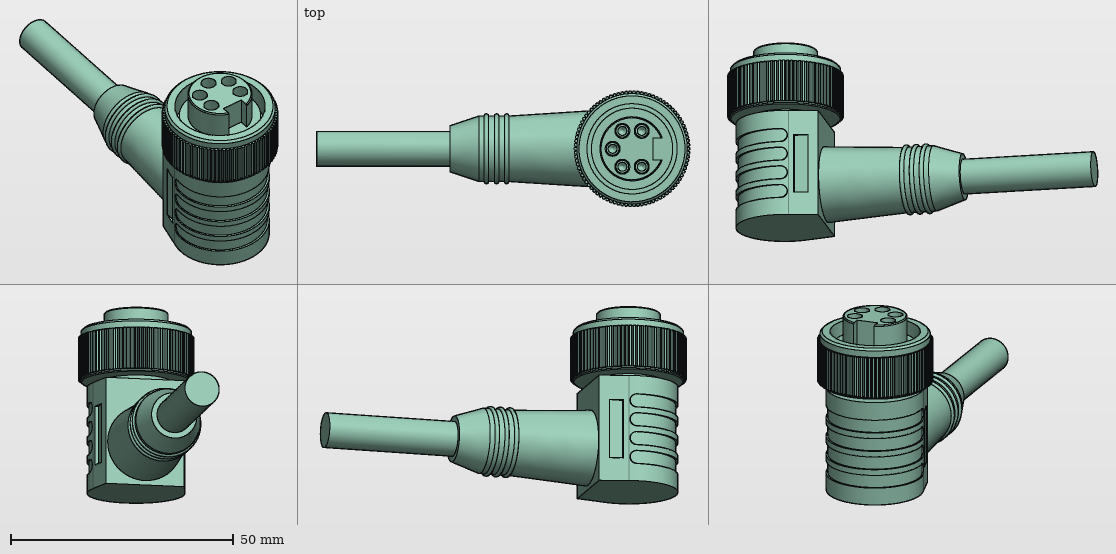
import cadquery as cq
import math


BODY_HEIGHT = 24.4
BODY_ARC_RADIUS = 11.0
BODY_ARC_X = 0.2
BODY_BACK_X = -9.4
BODY_BACK_HALF_WIDTH = 9.0
FLANK_END_X = -2.85

GRIP_COUNT = 4
GRIP_PITCH = 4.4
GRIP_CENTER_Z = 12.1
GRIP_WIDTH = 3.0
GRIP_START_X = -2.6
GRIP_FLOOR_RADIUS = 10.7

WINDOW_X_MIN = -7.1
WINDOW_X_MAX = -4.0
WINDOW_HEIGHT = 13.4
WINDOW_Z = 12.0
WINDOW_FLOOR_Y = 9.5

CABLE_Z = 9.6
CABLE_RADIUS = 3.95
CABLE_END_X = -71.0
BOOT_END_X = -41.0
BOOT_END_RADIUS = 5.2
BOOT_WAIST_RADIUS = 7.4
BOOT_TAPER_X = -34.4
BOOT_ROOT_RADIUS = 8.6
RING_COUNT = 3
RING_FIRST_X = -32.8
RING_PITCH = 2.3
RING_TUBE_RADIUS = 0.5

NECK_RADIUS = 7.9
NUT_BOTTOM_Z = 25.5
NUT_TOP_Z = 37.55
NUT_RADIUS = 12.4
NUT_CHAMFER = 0.5
KNURL_ROOT_RADIUS = 12.5
KNURL_TIP_RADIUS = 13.0
KNURL_TOP_Z = 35.5
KNURL_BOTTOM_Z = 26.1
KNURL_TEETH = 90
TOOTH_WIDTH = 0.4
NUT_BOTTOM_BEVEL = 0.25
RECESS_RADIUS = 10.2
RECESS_FLOOR_Z = 31.9
FLANGE_RADIUS = 9.15
FLANGE_TOP_Z = 34.8

INSERT_TOP_Z = 41.3
INSERT_RADIUS = 7.2
INSERT_CHAMFER = 0.25
KEY_WIDTH = 4.95
KEY_FLAT_X = 4.7
CONTACT_PAIR_X = 2.2
CONTACT_PAIR_Y = 4.0
SINGLE_CONTACT_X = -4.4
CONTACT_HOLE_RADIUS = 1.7
CONTACT_RADIUS = 1.4
CONTACT_DEPTH = 3.4
CONTACT_HEIGHT = 1.7
CONTACT_MOUTH_RADIUS = 1.0
CONTACT_MOUTH_DEPTH = 1.0


def disc(radius, z_bottom, z_top):
    """Upright cylinder on the nut axis."""
    return cq.Workplane("XY").workplane(offset=z_bottom).circle(radius).extrude(z_top - z_bottom)


def make_body():
    """Block with a flat back, two slanted flanks and a round front."""
    flank_y = math.sqrt(BODY_ARC_RADIUS**2 - (FLANK_END_X - BODY_ARC_X) ** 2)
    return (
        cq.Workplane("XY")
        .moveTo(BODY_BACK_X, -BODY_BACK_HALF_WIDTH)
        .lineTo(FLANK_END_X, -flank_y)
        .threePointArc((BODY_ARC_X + BODY_ARC_RADIUS, 0), (FLANK_END_X, flank_y))
        .lineTo(BODY_BACK_X, BODY_BACK_HALF_WIDTH)
        .close()
        .extrude(BODY_HEIGHT)
    )


def make_grips():
    """Round-ended bands that are removed outside the grip floor."""
    length = 2 * (BODY_ARC_RADIUS - GRIP_START_X)
    bands = (
        cq.Workplane("XZ")
        .center(GRIP_START_X + length / 2, GRIP_CENTER_Z)
        .rarray(0.8, GRIP_PITCH, 1, GRIP_COUNT)
        .slot2D(length, GRIP_WIDTH)
        .extrude(2 * BODY_ARC_RADIUS, both=True)
    )
    floor = disc(GRIP_FLOOR_RADIUS, 0, BODY_HEIGHT)
    return bands.cut(floor)


def make_window(side):
    """Flat-floored window cutter for the flank on the given Y side."""
    depth = BODY_ARC_RADIUS - WINDOW_FLOOR_Y
    return cq.Workplane("XY").box(WINDOW_X_MAX - WINDOW_X_MIN, depth, WINDOW_HEIGHT).translate(
        ((WINDOW_X_MIN + WINDOW_X_MAX) / 2, side * (WINDOW_FLOOR_Y + depth / 2), WINDOW_Z)
    )


def make_cable_and_boot():
    """Cable, tapered boot and its raised rings, turned about the cable axis."""
    turned = (
        cq.Workplane("XY")
        .moveTo(CABLE_END_X, 0)
        .lineTo(CABLE_END_X, CABLE_RADIUS)
        .lineTo(BOOT_END_X, CABLE_RADIUS)
        .lineTo(BOOT_END_X, BOOT_END_RADIUS)
        .lineTo(BOOT_TAPER_X, BOOT_WAIST_RADIUS)
    )
    for index in range(RING_COUNT):
        ring_x = RING_FIRST_X + index * RING_PITCH
        turned = (
            turned.lineTo(ring_x - RING_TUBE_RADIUS, BOOT_WAIST_RADIUS)
            .threePointArc(
                (ring_x, BOOT_WAIST_RADIUS + RING_TUBE_RADIUS),
                (ring_x + RING_TUBE_RADIUS, BOOT_WAIST_RADIUS),
            )
        )
    turned = (
        turned.lineTo(BODY_BACK_X, BOOT_ROOT_RADIUS)
        .lineTo(BODY_BACK_X, 0)
        .close()
        .revolve(360, (0, 0, 0), (1, 0, 0))
    )
    return turned.translate((0, 0, CABLE_Z))


def on_circle(radius, angle):
    """Point at the given radius and angle in radians around the nut axis."""
    return (radius * math.cos(angle), radius * math.sin(angle))


def make_knurl():
    """Straight knurl: flat-topped teeth with V valleys between them."""
    pitch_angle = 2 * math.pi / KNURL_TEETH
    half_tip_angle = TOOTH_WIDTH / KNURL_TIP_RADIUS / 2
    outline = []
    for index in range(KNURL_TEETH):
        angle = index * pitch_angle
        outline.append(on_circle(KNURL_TIP_RADIUS, angle - half_tip_angle))
        outline.append(on_circle(KNURL_TIP_RADIUS, angle + half_tip_angle))
        outline.append(on_circle(KNURL_ROOT_RADIUS, angle + pitch_angle / 2))
    return (
        cq.Workplane("XY")
        .workplane(offset=KNURL_BOTTOM_Z)
        .polyline(outline)
        .close()
        .extrude(KNURL_TOP_Z - KNURL_BOTTOM_Z)
    )


def make_nut():
    """Knurled coupling nut with a beveled foot and a recess around the insert."""
    collar = disc(NUT_RADIUS, KNURL_TOP_Z, NUT_TOP_Z).faces(">Z").chamfer(NUT_CHAMFER)
    foot = disc(KNURL_ROOT_RADIUS, NUT_BOTTOM_Z, KNURL_BOTTOM_Z)
    foot = foot.faces("<Z").chamfer(NUT_BOTTOM_BEVEL)
    nut = collar.union(make_knurl()).union(foot)
    return nut.cut(disc(RECESS_RADIUS, RECESS_FLOOR_Z, NUT_TOP_Z))


def make_insert():
    """Socket insert with a key slot and five recessed tubular contacts."""
    insert = disc(INSERT_RADIUS, FLANGE_TOP_Z, INSERT_TOP_Z).faces(">Z").chamfer(INSERT_CHAMFER)
    key = cq.Workplane("XY").box(
        INSERT_RADIUS, KEY_WIDTH, INSERT_TOP_Z - FLANGE_TOP_Z, centered=(False, True, False)
    )
    insert = insert.cut(key.translate((KEY_FLAT_X, 0, FLANGE_TOP_Z)))
    insert = insert.union(disc(FLANGE_RADIUS, RECESS_FLOOR_Z, FLANGE_TOP_Z))
    contact_z = INSERT_TOP_Z - CONTACT_DEPTH
    hole_floor_z = contact_z - CONTACT_HEIGHT
    hole = disc(CONTACT_HOLE_RADIUS, hole_floor_z, INSERT_TOP_Z)
    contact = disc(CONTACT_RADIUS, hole_floor_z, contact_z)
    countersink = cq.Workplane(
        cq.Solid.makeCone(
            CONTACT_MOUTH_RADIUS,
            0,
            CONTACT_MOUTH_DEPTH,
            pnt=cq.Vector(0, 0, contact_z),
            dir=cq.Vector(0, 0, -1),
        )
    )
    cutter = hole.cut(contact.cut(countersink))
    places = [(SINGLE_CONTACT_X, 0)]
    for x in (-CONTACT_PAIR_X, CONTACT_PAIR_X):
        for y in (-CONTACT_PAIR_Y, CONTACT_PAIR_Y):
            places.append((x, y))
    for x, y in places:
        insert = insert.cut(cutter.translate((x, y, 0)))
    return insert


body = make_body().cut(make_grips()).cut(make_window(1)).cut(make_window(-1))
neck = disc(NECK_RADIUS, BODY_HEIGHT, NUT_BOTTOM_Z)
result = body.union(make_cable_and_boot()).union(neck).union(make_nut()).union(make_insert())